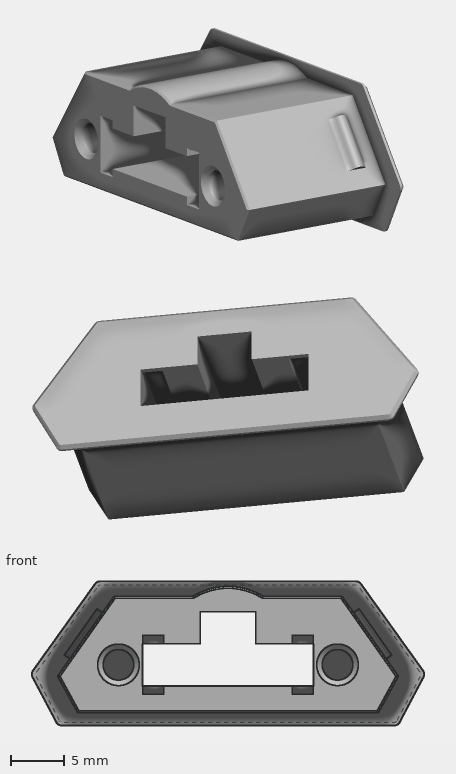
import cadquery as cq
import math

flange_width = 36.95
flange_height = 13.6
flange_thickness = 0.6
flange_corner_radius = 0.6
flange_bevel = 0.35
flange_top_half = 12.35
flange_bottom_half = 16.0
flange_widest_height = 4.85

body_depth = 15.8
body_bottom = 1.22
body_top = 12.2
body_widest_height = 4.65
body_half_width = 16.05
body_top_half = 10.7
body_bottom_half = 14.15
body_front_chamfer = 0.2
crown_half_width = 3.3
crown_height = 0.92

opening_center_height = 5.73
slot_width = 16.07
slot_height = 3.95
keyway_width = 5.2
keyway_top = 10.7

notch_width = 2.0
notch_height = 5.55

socket_spacing = 20.6
socket_diameter = 2.9
socket_countersink = 0.5

ridge_center_height = 8.45
ridge_length = 5.32
ridge_gap = 1.4
ridge_base = 2.35
ridge_height = 0.63
ridge_crest_start = 0.45
ridge_crest_end = 1.55
ridge_shoulder_height = 0.37
ridge_flank_mid = (1.9, 0.092)


def front_plane():
    """Plane of the flange front face; its normal points toward -Y."""
    return cq.Workplane("XZ")


def mirrored_outline(right_side):
    """Right-hand points, bottom to top, followed by their mirror images."""
    left_side = [(-x, z) for x, z in reversed(right_side)]
    return right_side + left_side


def rounding_length(first_heading, second_heading):
    """Distance along a side from a sharp corner to the start of its rounding."""
    return flange_corner_radius * math.tan((second_heading - first_heading) / 2)


def make_flange():
    radius = flange_corner_radius
    lower_heading = math.atan2(flange_widest_height, flange_width / 2 - flange_bottom_half)
    upper_heading = math.atan2(flange_height - flange_widest_height, flange_top_half - flange_width / 2)
    core = mirrored_outline([
        (flange_bottom_half - rounding_length(0, lower_heading), radius),
        (flange_width / 2 - radius, flange_widest_height),
        (flange_top_half - rounding_length(upper_heading, math.pi), flange_height - radius),
    ])
    plate = front_plane().polyline(core).close().offset2D(radius, "arc").extrude(-flange_thickness)
    return plate.faces(">Y").chamfer(flange_bevel)


def make_body():
    body = (
        front_plane()
        .moveTo(-body_bottom_half, body_bottom)
        .lineTo(body_bottom_half, body_bottom)
        .lineTo(body_half_width, body_widest_height)
        .lineTo(body_top_half, body_top)
        .lineTo(crown_half_width, body_top)
        .threePointArc((0, body_top + crown_height), (-crown_half_width, body_top))
        .lineTo(-body_top_half, body_top)
        .lineTo(-body_half_width, body_widest_height)
        .close()
        .extrude(body_depth)
    )
    return body.faces("<Y").chamfer(body_front_chamfer)


def make_ridge():
    """Ridge on the right-hand slanted side."""
    run = body_half_width - body_top_half
    rise = body_top - body_widest_height
    center_x = body_half_width - run * (ridge_center_height - body_widest_height) / rise
    section = cq.Plane(
        origin=(center_x, -ridge_gap, ridge_center_height),
        xDir=(0, -1, 0),
        normal=(-run, 0, rise),
    )
    crest_middle = (ridge_crest_start + ridge_crest_end) / 2
    return (
        cq.Workplane(section)
        .lineTo(ridge_crest_start, ridge_shoulder_height)
        .threePointArc((crest_middle, ridge_height), (ridge_crest_end, ridge_shoulder_height))
        .threePointArc(ridge_flank_mid, (ridge_base, 0))
        .close()
        .extrude(ridge_length / 2, both=True)
    )


def make_opening():
    total_depth = body_depth + flange_thickness
    through = front_plane().workplane(offset=-flange_thickness)
    slot = through.center(0, opening_center_height).rect(slot_width, slot_height).extrude(total_depth)
    keyway_height = keyway_top - opening_center_height
    keyway_center = opening_center_height + keyway_height / 2
    keyway = through.center(0, keyway_center).rect(keyway_width, keyway_height).extrude(total_depth)
    return slot.union(keyway)


def make_notches():
    notch_x = (slot_width - notch_width) / 2
    return (
        front_plane()
        .pushPoints([(-notch_x, opening_center_height), (notch_x, opening_center_height)])
        .rect(notch_width, notch_height)
        .extrude(body_depth)
    )


def make_socket(center_x):
    """Socket bore with a 45 degree countersink at the body front."""
    radius = socket_diameter / 2
    profile = (
        cq.Workplane("XY")
        .center(center_x, 0)
        .lineTo(radius, 0)
        .lineTo(radius, socket_countersink - body_depth)
        .lineTo(radius + socket_countersink, -body_depth)
        .lineTo(0, -body_depth)
        .close()
    )
    return profile.revolve(360, (0, 0), (0, 1)).translate((0, 0, opening_center_height))


ridge = make_ridge()
result = make_flange().union(make_body()).union(ridge).union(ridge.mirror("YZ"))
result = result.cut(make_opening()).cut(make_notches())
for side in (-1, 1):
    result = result.cut(make_socket(side * socket_spacing / 2))